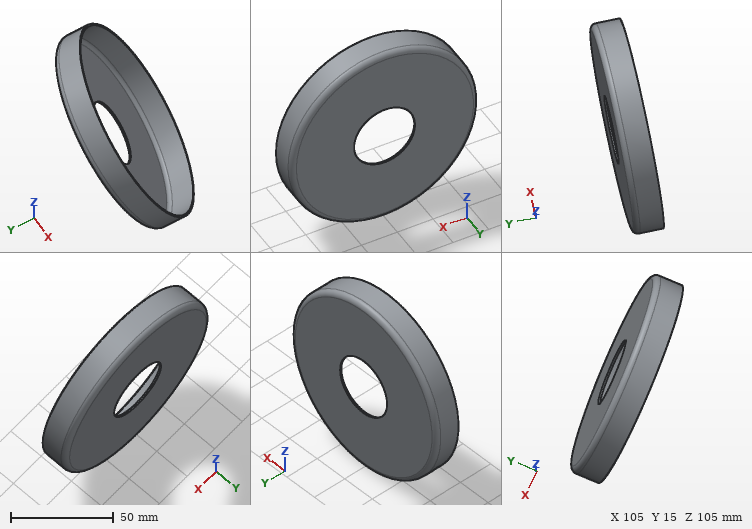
import cadquery as cq

outer_diameter = 105.0
height = 15.0
sheet_thickness = 1.0
hole_diameter = 34.0
outer_corner_radius = 3.0

inner_diameter = outer_diameter - 2 * sheet_thickness
inner_corner_radius = outer_corner_radius - sheet_thickness
cavity_depth = height - sheet_thickness


def rounded_disc(diameter, length, corner_radius):
    """Disc along +Y from the open rim at Y = 0, with its far edge rounded."""
    disc = cq.Workplane("XZ").circle(diameter / 2).extrude(-length)
    return disc.faces(">Y").edges().fillet(corner_radius)


def centre_hole():
    """Cylinder that cuts the central hole through the floor."""
    return cq.Workplane("XZ").circle(hole_diameter / 2).extrude(-height)


outer_body = rounded_disc(outer_diameter, height, outer_corner_radius)
cavity = rounded_disc(inner_diameter, cavity_depth, inner_corner_radius)

result = outer_body.cut(cavity).cut(centre_hole())